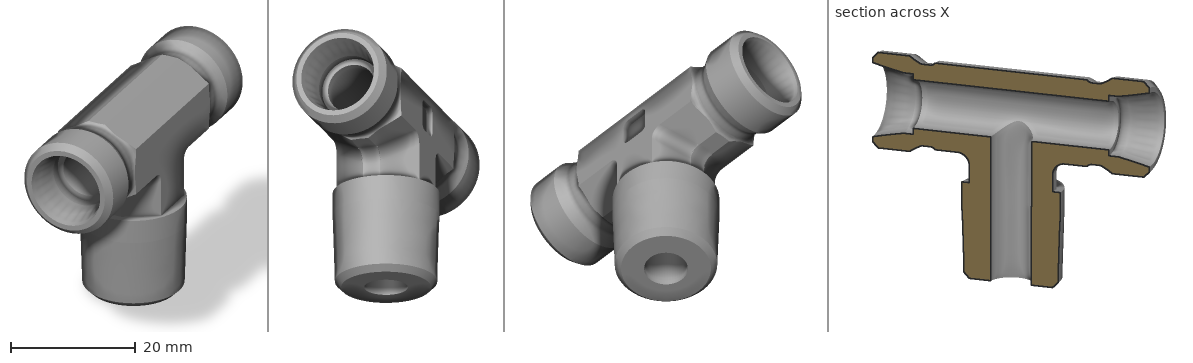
import cadquery as cq
import math


run_length = 48.0
overall_height = 36.0
half_run = run_length / 2

hex_across_flats = 14.0
body_height = 14.5
crotch_radius = 2.0
hex_corner_radius = hex_across_flats / math.sqrt(3)

thread_diameter = 16.0
neck_diameter = 13.7
thread_inner_y = 17.55
neck_inner_y = 13.95
end_chamfer = 1.0
run_out_angle = math.radians(30)
run_out_radius = 1.0
shoulder_radius = 1.0

branch_length = overall_height - thread_diameter / 2
collar_diameter = 17.15
collar_top = 12.0
collar_height = 4.0
taper_per_side = 1 / 32

run_bore = 8.0
branch_bore = 7.0
tube_diameter = 10.0
tube_seat_depth = 7.0
cone_mouth_diameter = 12.3
cone_half_angle = math.radians(12)

pad_size = 5.0
pad_corner_radius = 1.0
pad_depth = 1.0


def bar_section(plane):
    """Hexagon with flats on +-X, its two points trimmed to the body height."""
    flat = hex_across_flats / 2
    corner = hex_corner_radius / 2
    trim = body_height / 2
    trim_half_width = (hex_corner_radius - trim) * math.sqrt(3)
    half = [(trim_half_width, -trim), (flat, -corner), (flat, corner), (trim_half_width, trim)]
    opposite_half = [(-x, -y) for x, y in half]
    return cq.Workplane(plane).polyline(half + opposite_half).close()


def forged_body():
    """Run bar and branch bar joined, with rounded inside corners."""
    run_bar = bar_section("XZ").extrude(neck_inner_y, both=True)
    branch_bar = bar_section("XY").extrude(-collar_top)
    body = run_bar.union(branch_bar)
    margin = 0.05
    low = hex_corner_radius / 2 - margin
    high = body_height / 2 + margin
    half_width = hex_across_flats / 2 + margin
    for side in (-1, 1):
        y_limits = sorted((side * low, side * high))
        crotch = cq.selectors.BoxSelector(
            (-half_width, y_limits[0], -high), (half_width, y_limits[1], -low), boundingbox=True
        )
        body = body.edges(crotch).fillet(crotch_radius)
    return body


def flare_arc(start, radius, angle, direction):
    """Middle and end of an arc that leaves a cylinder tangentially and turns outward by angle."""
    r, y = start
    return [
        (r + radius * (1 - math.cos(turn)), y + direction * radius * math.sin(turn))
        for turn in (angle / 2, angle)
    ]


def shoulder_envelope():
    """Turned outline that rounds each end of the hexagonal run down to its neck."""
    neck = neck_diameter / 2
    shoulder_y = neck_inner_y - shoulder_radius
    arc_mid, arc_end = flare_arc((neck, neck_inner_y), shoulder_radius, math.pi / 2, -1)
    envelope_radius = collar_diameter
    half = (
        cq.Workplane("XY")
        .lineTo(0, neck_inner_y)
        .lineTo(neck, neck_inner_y)
        .threePointArc(arc_mid, arc_end)
        .lineTo(envelope_radius, shoulder_y)
        .lineTo(envelope_radius, 0)
        .close()
        .revolve(360, (0, 0), (0, 1))
    )
    return half.union(half.mirror("XZ"))


def run_end():
    """Threaded end on the +Y side with its neck and conical run-out."""
    neck = neck_diameter / 2
    thread = thread_diameter / 2
    fillet_rise = run_out_radius * (1 - math.cos(run_out_angle))
    cone_length = (thread - neck - fillet_rise) / math.tan(run_out_angle)
    fillet_length = run_out_radius * math.sin(run_out_angle)
    neck_outer_y = thread_inner_y - cone_length - fillet_length
    arc_mid, arc_end = flare_arc((neck, neck_outer_y), run_out_radius, run_out_angle, 1)
    return (
        cq.Workplane("XY")
        .lineTo(neck, 0)
        .lineTo(neck, neck_outer_y)
        .threePointArc(arc_mid, arc_end)
        .lineTo(thread, thread_inner_y)
        .lineTo(thread, half_run - end_chamfer)
        .lineTo(thread - end_chamfer, half_run)
        .lineTo(0, half_run)
        .close()
        .revolve(360, (0, 0), (0, 1))
    )


def tube_socket():
    """Cone and straight tube seat at the +Y mouth."""
    mouth = cone_mouth_diameter / 2
    tube = tube_diameter / 2
    cone_depth = (mouth - tube) / math.tan(cone_half_angle)
    return (
        cq.Workplane("XY")
        .moveTo(0, half_run)
        .lineTo(mouth, half_run)
        .lineTo(tube, half_run - cone_depth)
        .lineTo(tube, half_run - tube_seat_depth)
        .lineTo(0, half_run - tube_seat_depth)
        .close()
        .revolve(360, (0, 0), (0, 1))
    )


def branch_stud():
    """Collar and tapered thread with a chamfered tip."""
    collar = collar_diameter / 2
    collar_bottom = collar_top + collar_height
    taper_end = branch_length - end_chamfer
    taper_tip = collar - (taper_end - collar_bottom) * taper_per_side
    return (
        cq.Workplane("XZ")
        .moveTo(0, -collar_top)
        .lineTo(collar, -collar_top)
        .lineTo(collar, -collar_bottom)
        .lineTo(taper_tip, -taper_end)
        .lineTo(taper_tip - end_chamfer, -branch_length)
        .lineTo(0, -branch_length)
        .close()
        .revolve(360, (0, 0), (0, 1))
    )


def badge_pad():
    """Rounded square recess cutter, sunk into the -X flat."""
    flat = hex_across_flats / 2
    return (
        cq.Workplane("YZ", origin=(-flat, 0, 0))
        .rect(pad_size, pad_size)
        .extrude(pad_depth)
        .edges("|X")
        .fillet(pad_corner_radius)
    )


result = forged_body().intersect(shoulder_envelope()).union(branch_stud())
for end in (run_end(), run_end().mirror("XZ")):
    result = result.union(end)

for socket in (tube_socket(), tube_socket().mirror("XZ")):
    result = result.cut(socket)
result = result.cut(cq.Workplane("XZ").circle(run_bore / 2).extrude(half_run, both=True))
result = result.cut(cq.Workplane("XY").circle(branch_bore / 2).extrude(-branch_length))
result = result.cut(badge_pad())